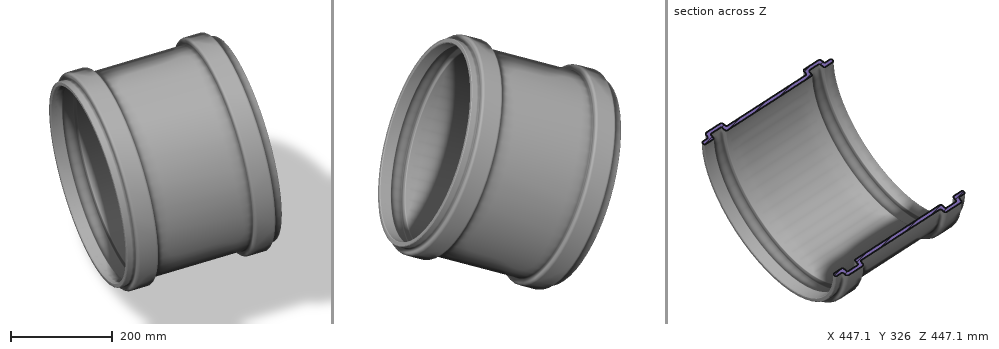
import cadquery as cq
import math


length = 326.0
half_length = length / 2

bore_radius = 402.0 / 2
mouth_bore_radius = 402.4 / 2
tube_radius = 421.1 / 2
spigot_radius = 421.4 / 2
groove_radius = 429.1 / 2
bead_radius = 447.1 / 2

bead_start = 16.7
bead_width = 45.8
groove_start = 25.0
groove_width = 29.2
wall_draft = 5.0

bead_edge_radius = 5.0
bead_root_radius = 2.5
groove_edge_radius = 2.0
rim_outer_chamfer = 1.2
rim_inner_chamfer = 1.5

draft_slope = math.tan(math.radians(wall_draft))
bead_outer_foot = half_length - bead_start
bead_inner_foot = bead_outer_foot - bead_width
bead_outer_crest = bead_outer_foot - (bead_radius - spigot_radius) * draft_slope
bead_inner_crest = bead_inner_foot + (bead_radius - tube_radius) * draft_slope
groove_outer_foot = half_length - groove_start
groove_inner_foot = groove_outer_foot - groove_width
groove_outer_crest = groove_outer_foot - (groove_radius - mouth_bore_radius) * draft_slope
groove_inner_crest = groove_inner_foot + (groove_radius - bore_radius) * draft_slope

outside_corners = [
    (spigot_radius, half_length),
    (spigot_radius, bead_outer_foot),
    (bead_radius, bead_outer_crest),
    (bead_radius, bead_inner_crest),
    (tube_radius, bead_inner_foot),
]
inside_corners = [
    (mouth_bore_radius, half_length),
    (mouth_bore_radius, groove_outer_foot),
    (groove_radius, groove_outer_crest),
    (groove_radius, groove_inner_crest),
    (bore_radius, groove_inner_foot),
]


def mirrored(corners):
    """Corners of the other end, ordered from the middle to the open end."""
    return [(radius, -distance) for radius, distance in reversed(corners)]


def make_section():
    """Sharp-edged wall section in the XY plane, with X as the radius."""
    outside = outside_corners + mirrored(outside_corners)
    inside = inside_corners + mirrored(inside_corners)
    outline = cq.Workplane("XY").polyline(outside + inside[::-1]).close()
    return cq.Face.makeFromWires(outline.val())


def vertices_at(section, corners):
    """Section vertices lying on the given corners, at both ends."""
    tolerance = 1e-3
    found = []
    for vertex in section.Vertices():
        for radius, distance in corners:
            same_radius = abs(vertex.X - radius) < tolerance
            same_place = abs(abs(vertex.Y) - distance) < tolerance
            if same_radius and same_place:
                found.append(vertex)
    return found


def finish_corners(section):
    """Fillets on the beads and grooves, chamfers on the open rims."""
    rim_outer, bead_outer_root, bead_outer_edge, bead_inner_edge, bead_inner_root = outside_corners
    rim_inner, *groove_corners = inside_corners
    bead_edges = [bead_outer_edge, bead_inner_edge]
    bead_roots = [bead_outer_root, bead_inner_root]
    section = section.fillet2D(bead_edge_radius, vertices_at(section, bead_edges))
    section = section.fillet2D(bead_root_radius, vertices_at(section, bead_roots))
    section = section.fillet2D(groove_edge_radius, vertices_at(section, groove_corners))
    section = section.chamfer2D(rim_outer_chamfer, vertices_at(section, [rim_outer]))
    return section.chamfer2D(rim_inner_chamfer, vertices_at(section, [rim_inner]))


wall_section = finish_corners(make_section())
axis_start = cq.Vector(0, 0, 0)
axis_end = cq.Vector(0, 1, 0)
result = cq.Workplane(obj=cq.Solid.revolve(wall_section, 360, axis_start, axis_end))